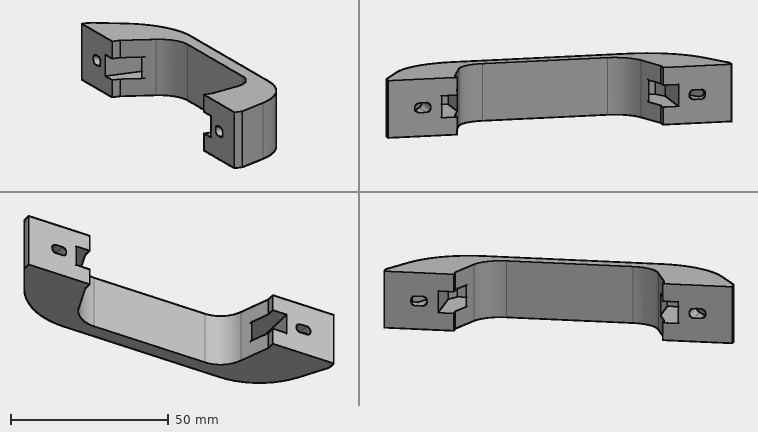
import cadquery as cq
import math

length = 112.5
depth = 25.2
height = 18.6
half_length = length / 2

bar_thickness = 5.1
foot_width = 22.5
foot_edge = 2.8
outer_lean = 60.0
inner_lean = 70.0
outer_radius = 25.2
inner_radius = 10.0

recess_height = 7.1
recess_start = 17.4
recess_slope_end = 19.7
recess_width = 7.4
recess_depth = 21.4

hole_center = 11.2
hole_length = 5.3
hole_height = 3.2


def leg_bend(foot_x, arc_end_y, radius, lean):
    """Return the start, middle and end of the bend from a left leg face into the bar."""
    angle = math.radians(lean)
    start_y = arc_end_y - radius * (1 - math.cos(angle))
    start_x = foot_x + (start_y - foot_edge) / math.tan(angle)
    center_x = start_x + radius * math.sin(angle)
    center_y = arc_end_y - radius
    middle = (center_x - radius * math.sin(angle / 2), center_y + radius * math.cos(angle / 2))
    return (start_x, start_y), middle, (center_x, arc_end_y)


def mirrored(point):
    return (-point[0], point[1])


def handle_body():
    inner_foot_x = foot_width - half_length
    outer_start, outer_middle, outer_end = leg_bend(-half_length, depth, outer_radius, outer_lean)
    inner_start, inner_middle, inner_end = leg_bend(
        inner_foot_x, depth - bar_thickness, inner_radius, inner_lean
    )
    return (
        cq.Workplane("XY")
        .moveTo(-half_length, 0)
        .lineTo(-half_length, foot_edge)
        .lineTo(*outer_start)
        .threePointArc(outer_middle, outer_end)
        .lineTo(*mirrored(outer_end))
        .threePointArc(mirrored(outer_middle), mirrored(outer_start))
        .lineTo(half_length, foot_edge)
        .lineTo(half_length, 0)
        .lineTo(-inner_foot_x, 0)
        .lineTo(-inner_foot_x, foot_edge)
        .lineTo(*mirrored(inner_start))
        .threePointArc(mirrored(inner_middle), mirrored(inner_end))
        .lineTo(*inner_end)
        .threePointArc(inner_middle, inner_start)
        .lineTo(inner_foot_x, foot_edge)
        .lineTo(inner_foot_x, 0)
        .close()
        .extrude(height)
    )


def slope_y(end_distance):
    """Depth of the sloping end plane, which runs parallel to the outer leg face."""
    return recess_depth - (recess_slope_end - end_distance) * math.tan(math.radians(outer_lean))


def left_recess():
    wall_x = recess_start - half_length
    open_x = wall_x + recess_width
    return (
        cq.Workplane("XY", origin=(0, 0, (height - recess_height) / 2))
        .polyline([
            (wall_x, 0),
            (wall_x, slope_y(recess_start)),
            (recess_slope_end - half_length, recess_depth),
            (open_x, recess_depth),
            (open_x, 0),
        ])
        .close()
        .extrude(recess_height)
    )


def left_screw_hole():
    """Return an elongated hole that ends on the same sloping plane as the recess."""
    slot = (
        cq.Workplane("XZ", origin=(hole_center - half_length, 0, height / 2))
        .slot2D(hole_length, hole_height)
        .extrude(-recess_depth)
    )
    near_x = hole_center - hole_length / 2
    far_x = hole_center + hole_length / 2
    below_slope = (
        cq.Workplane("XY")
        .polyline([
            (near_x - half_length, 0),
            (near_x - half_length, slope_y(near_x)),
            (far_x - half_length, slope_y(far_x)),
            (far_x - half_length, 0),
        ])
        .close()
        .extrude(height)
    )
    return slot.intersect(below_slope)


result = handle_body()
for left_cut in (left_recess(), left_screw_hole()):
    result = result.cut(left_cut).cut(left_cut.mirror("YZ"))